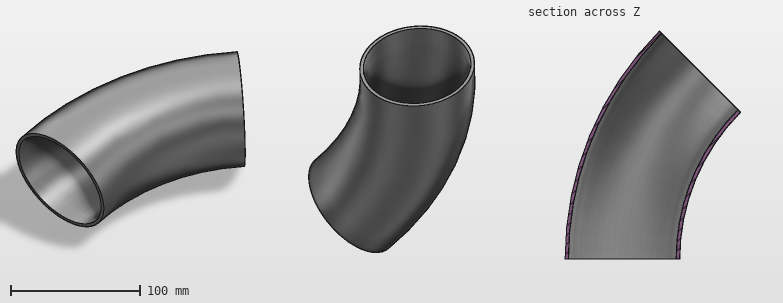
import cadquery as cq
import math

bend_angle = 45.0
overall_length = 176.4
outer_diameter = 88.9
wall_thickness = 2.8

outer_radius = outer_diameter / 2
inner_radius = outer_radius - wall_thickness

bend_radius = overall_length / math.sin(math.radians(bend_angle)) - outer_radius

result = (
    cq.Workplane("XZ")
    .circle(outer_radius)
    .circle(inner_radius)
    .revolve(bend_angle, (bend_radius, 0), (bend_radius, -1))
)